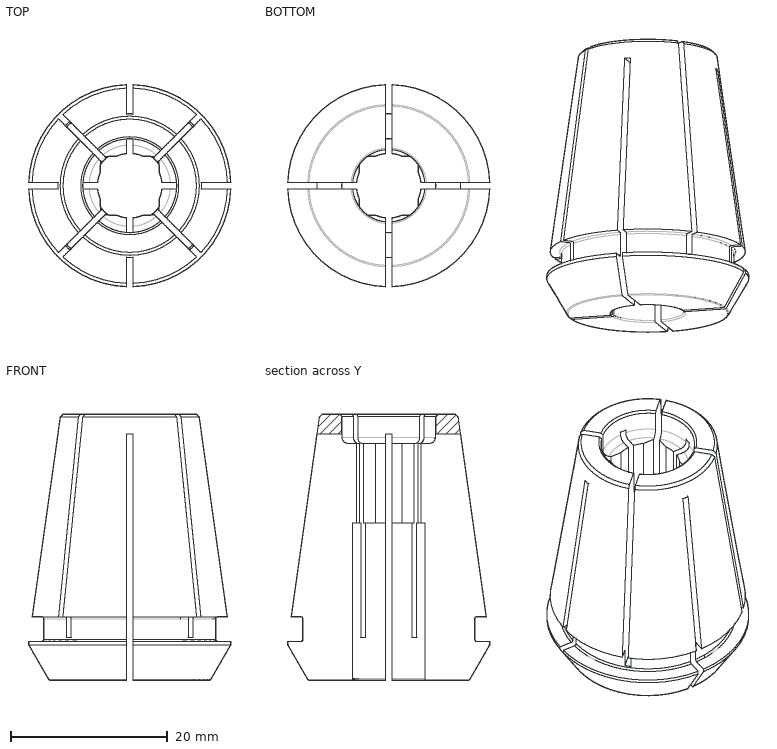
import cadquery as cq
import math

height = 34.0
flange_radius = 12.92
taper_angle = 8.0
nose_angle = 30.0

flange_bottom = 4.52
flange_top = 4.95
groove_top = 8.1
groove_radius = 11.0
groove_fillet = 0.25
taper_base_radius = 12.48
rim_chamfer = 0.37
end_fillet = 0.2

recess_radius = 6.0
recess_depth = 3.75
recess_fillet = 0.78
recess_chamfer = 0.27
shank_radius = 4.62
square_width = 7.5
square_length = 10.2
pilot_radius = 4.1

slot_width = 0.78
lower_slot_top = 31.45
upper_slot_floor = 5.45
slots_per_set = 4
slot_reach = 1.5 * flange_radius

recess_floor = height - recess_depth
square_bottom = recess_floor - square_length


def outer_body():
    """Revolve the nose, flange, groove and taper about Z."""
    nose_radius = flange_radius - flange_bottom * math.tan(math.radians(nose_angle))
    rim_bottom = height - rim_chamfer
    rim_radius = taper_base_radius - (rim_bottom - groove_top) * math.tan(math.radians(taper_angle))
    fillet_edge = groove_radius + groove_fillet
    profile = (
        cq.Workplane("XZ")
        .lineTo(nose_radius, 0)
        .lineTo(flange_radius, flange_bottom)
        .lineTo(flange_radius, flange_top)
        .lineTo(fillet_edge, flange_top)
        .radiusArc((groove_radius, flange_top + groove_fillet), groove_fillet)
        .lineTo(groove_radius, groove_top - groove_fillet)
        .radiusArc((fillet_edge, groove_top), groove_fillet)
        .lineTo(taper_base_radius, groove_top)
        .lineTo(rim_radius, rim_bottom)
        .lineTo(rim_radius - rim_chamfer, height)
        .lineTo(0, height)
        .close()
    )
    return profile.revolve(360, (0, 0, 0), (0, 1, 0))


def bore():
    """Round shank bore, square drive socket and the recess above it."""
    shank = cq.Workplane("XY").circle(shank_radius).extrude(square_bottom)
    socket_plane = cq.Workplane("XY").workplane(offset=square_bottom)
    square = socket_plane.rect(square_width, square_width).extrude(square_length)
    pilot = socket_plane.circle(pilot_radius).extrude(square_length)
    recess = (
        cq.Workplane("XY")
        .workplane(offset=recess_floor)
        .circle(recess_radius)
        .extrude(recess_depth)
        .faces("<Z")
        .edges()
        .fillet(recess_fillet)
    )
    mouth = cq.Workplane("XY").add(
        cq.Solid.makeCone(
            recess_radius,
            recess_radius + recess_chamfer,
            recess_chamfer,
            pnt=cq.Vector(0, 0, height - recess_chamfer),
        )
    )
    return shank.union(square).union(pilot).union(recess).union(mouth)


def slot_set(bottom, top, first_angle):
    """Radial slots, evenly spaced, between two levels."""
    slots = cq.Workplane("XY")
    for index in range(slots_per_set):
        slot = (
            cq.Workplane("XY")
            .box(slot_reach, slot_width, top - bottom, centered=(False, True, False))
            .translate((0, 0, bottom))
            .rotate((0, 0, 0), (0, 0, 1), first_angle + index * 360 / slots_per_set)
        )
        slots = slots.add(slot)
    return slots.combine()


sleeve = outer_body().cut(bore()).faces("<Z").edges().fillet(end_fillet)
lower_slots = slot_set(0, lower_slot_top, 0)
upper_slots = slot_set(upper_slot_floor, height, 180 / slots_per_set)

result = sleeve.cut(lower_slots).cut(upper_slots)